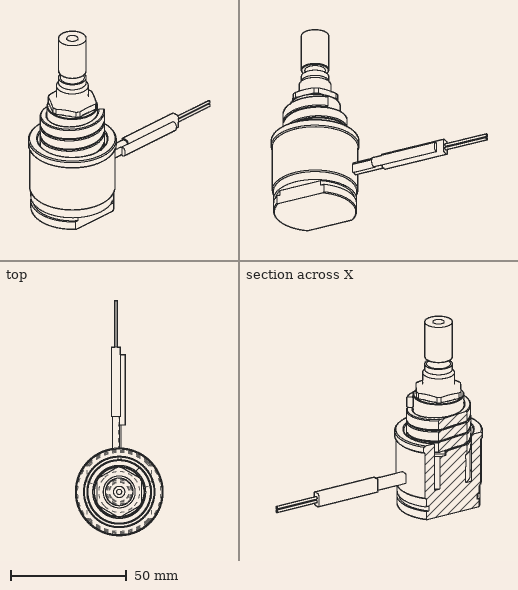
import cadquery as cq
import math

TOTAL_HEIGHT = 86.2
TOTAL_DEPTH = 101.5

FOOT_RADIUS = 18.0
FOOT_HEIGHT = 4.1
FOOT_CHAMFER = 0.4
FOOT_NECK_RADIUS = 17.1
FOOT_FLATS = 27.8
FOOT_NECK_TOP = 6.2

HOUSING_RADIUS = 18.5
HOUSING_BOTTOM = 10.6
HOUSING_EDGE = HOUSING_RADIUS - FOOT_RADIUS
FLANGE_RADIUS = 19.0
FLANGE_BOTTOM = 31.8
FLANGE_TOP = 35.3
FLANGE_CHAMFER = 0.5
CAVITY_RADIUS = 15.0
CAVITY_FLOOR = 13.2
CAVITY_CHAMFER = 0.4

COIL_RADIUS = 13.9
COIL_PITCH = 5.3
COIL_GAP = 0.3
COIL_CHAMFER = 0.4
COIL_INNER_CHAMFER = 0.6
COIL_START_ANGLE = 163.0
COIL_END_ANGLE = 50.6
COIL_HIDDEN_TURNS = 3
COIL_START_TOP = 30.3
COIL_OVERLAP = 0.1
CORE_RADIUS = 11.0
CORE_TOP = 52.1
CORE_CHAMFER = 0.3
DRUM_RADIUS = 13.6
DRUM_TOP = 28.4

NUT_FLATS = 19.3
NUT_CORNER_RADIUS = 10.7
NUT_BOTTOM = 52.6
NUT_CORNER_TOP = 55.1
NUT_CONE_TOP = 55.9
NUT_CONE_RADIUS = 7.6
WASHER_RADIUS = 8.8

BUSHING_RADIUS = 6.9
BUSHING_BOTTOM = 57.0
BUSHING_TOP = 62.2
SHOULDER_RADIUS = 6.4
SHOULDER_HEIGHT = 62.8
COLLAR_BOTTOM = 63.7
COLLAR_TOP = 66.3
SHAFT_RADIUS = 6.0
SHAFT_BOTTOM = 69.3
SHAFT_CHAMFER = 0.3
NECK_RADIUS = 4.2
NECK_MIDDLE = 68.0
NECK_TOP_RADIUS = 4.5
NECK_BOTTOM_RADIUS = 5.2
BORE_RADIUS = 2.4
BORE_DEPTH = 12.2
BORE_CONE_ANGLE = 118.0
BORE_NUB_RADIUS = 1.1

CABLE_Z = 17.3
CABLE_X = -1.4
CABLE_HEIGHT = 4.9
CABLE_WIDTH = 3.0
CABLE_ROOT = 16.2
CABLE_ROUNDING = 0.6
SLEEVE_HEIGHT = 6.3
SLEEVE_WIDTH = 3.9
SLEEVE_ROUNDING = 0.9
SLEEVE_START = 32.5
SLEEVE_END = 62.4
WIRE_Z = 17.2
WIRE_DIAMETER = 1.2
WIRE_SPACING = 1.7
WIRE_END = TOTAL_DEPTH - FLANGE_RADIUS
WIRE_EMBED = 2.0

REAR_CABLE_Z = 16.7
REAR_CABLE_X = 0.1
REAR_CABLE_WIDTH = 1.4
REAR_CABLE_HEIGHT = 4.0
REAR_SLEEVE_X = 1.1
REAR_SLEEVE_WIDTH = 3.0
REAR_SLEEVE_HEIGHT = 4.3
REAR_SLEEVE_START = 28.8
REAR_SLEEVE_END = 59.2
REAR_CABLE_ROOT = 13.7


def disc(radius, bottom, top):
    """Vertical cylinder on the part axis."""
    return cq.Workplane("XY").workplane(offset=bottom).circle(radius).extrude(top - bottom)


def turned(outline):
    """Solid of revolution about the part axis from (radius, height) points."""
    return cq.Workplane("XZ").polyline(outline).close().revolve(360, (0, 0), (0, 1))


def make_foot():
    """Round foot and its narrower neck, cut by two flats facing -X and +X."""
    foot = disc(FOOT_RADIUS, 0, FOOT_HEIGHT).faces("<Z").chamfer(FOOT_CHAMFER)
    foot = foot.union(disc(FOOT_NECK_RADIUS, 0, FOOT_NECK_TOP).faces("<Z").chamfer(FOOT_CHAMFER))
    flats = cq.Workplane("XY").box(
        FOOT_FLATS, 2 * FOOT_RADIUS, FOOT_NECK_TOP, centered=(True, True, False)
    )
    return foot.intersect(flats)


def make_housing():
    """Flanged cup whose cavity is open at the top."""
    outline = [
        (0, FOOT_NECK_TOP),
        (FOOT_RADIUS, FOOT_NECK_TOP),
        (FOOT_RADIUS, HOUSING_BOTTOM - HOUSING_EDGE),
        (HOUSING_RADIUS, HOUSING_BOTTOM),
        (HOUSING_RADIUS, FLANGE_BOTTOM),
        (FLANGE_RADIUS, FLANGE_BOTTOM + FLANGE_CHAMFER),
        (FLANGE_RADIUS, FLANGE_TOP - FLANGE_CHAMFER),
        (FLANGE_RADIUS - FLANGE_CHAMFER, FLANGE_TOP),
        (CAVITY_RADIUS + CAVITY_CHAMFER, FLANGE_TOP),
        (CAVITY_RADIUS, FLANGE_TOP - CAVITY_CHAMFER),
        (CAVITY_RADIUS, CAVITY_FLOOR),
        (0, CAVITY_FLOOR),
    ]
    return turned(outline)


def make_core():
    """Drum standing on the cavity floor and the cylinder that carries the coil."""
    core = disc(CORE_RADIUS, CAVITY_FLOOR, CORE_TOP).faces(">Z").chamfer(CORE_CHAMFER)
    return core.union(disc(DRUM_RADIUS, CAVITY_FLOOR, DRUM_TOP))


def make_coil():
    """Right-handed flat-wire coil with four chamfered edges."""
    turns = COIL_HIDDEN_TURNS + ((COIL_END_ANGLE - COIL_START_ANGLE) % 360) / 360
    height = COIL_PITCH - COIL_GAP
    inner = CORE_RADIUS - COIL_OVERLAP
    section = [
        (inner, -height + COIL_INNER_CHAMFER),
        (inner + COIL_INNER_CHAMFER, -height),
        (COIL_RADIUS - COIL_CHAMFER, -height),
        (COIL_RADIUS, -height + COIL_CHAMFER),
        (COIL_RADIUS, -COIL_CHAMFER),
        (COIL_RADIUS - COIL_CHAMFER, 0),
        (inner + COIL_INNER_CHAMFER, 0),
        (inner, -COIL_INNER_CHAMFER),
    ]
    path = cq.Wire.makeHelix(COIL_PITCH, turns * COIL_PITCH, COIL_RADIUS)
    coil = cq.Workplane("XZ").polyline(section).close().sweep(path, isFrenet=True)
    return coil.rotate((0, 0, 0), (0, 0, 1), COIL_START_ANGLE).translate((0, 0, COIL_START_TOP))


def make_nut():
    """Hexagon with flats facing -X and +X under a shallow conical top, on a washer."""
    outline = [
        (0, NUT_BOTTOM),
        (NUT_CORNER_RADIUS, NUT_BOTTOM),
        (NUT_CORNER_RADIUS, NUT_CORNER_TOP),
        (NUT_CONE_RADIUS, NUT_CONE_TOP),
        (0, NUT_CONE_TOP),
    ]
    blank = turned(outline)
    corner_diameter = NUT_FLATS / math.cos(math.radians(30))
    hexagon = (
        cq.Workplane("XY")
        .workplane(offset=NUT_BOTTOM)
        .polygon(6, corner_diameter)
        .extrude(NUT_CONE_TOP - NUT_BOTTOM)
        .rotate((0, 0, 0), (0, 0, 1), 30)
    )
    return blank.intersect(hexagon).union(disc(WASHER_RADIUS, CORE_TOP, NUT_BOTTOM))


def make_shaft():
    """Bushing, collar, concave neck and shaft, with a bore in the top.

    The bore floor slopes down to a small conical nub in the middle.
    """
    cone_slope = 1 / math.tan(math.radians(BORE_CONE_ANGLE / 2))
    bore_floor = TOTAL_HEIGHT - BORE_DEPTH
    nub_bottom = bore_floor - (BORE_RADIUS - BORE_NUB_RADIUS) * cone_slope
    nub_top = nub_bottom + BORE_NUB_RADIUS * cone_slope
    root_mid = (
        NUT_CONE_RADIUS - (NUT_CONE_RADIUS - BUSHING_RADIUS) * math.sin(math.radians(45)),
        BUSHING_BOTTOM - (BUSHING_BOTTOM - NUT_CONE_TOP) * math.sin(math.radians(45)),
    )
    return (
        cq.Workplane("XZ")
        .moveTo(0, NUT_CONE_TOP)
        .lineTo(NUT_CONE_RADIUS, NUT_CONE_TOP)
        .threePointArc(root_mid, (BUSHING_RADIUS, BUSHING_BOTTOM))
        .lineTo(BUSHING_RADIUS, BUSHING_TOP)
        .lineTo(SHOULDER_RADIUS, SHOULDER_HEIGHT)
        .lineTo(SHAFT_RADIUS, COLLAR_BOTTOM)
        .lineTo(SHAFT_RADIUS, COLLAR_TOP)
        .lineTo(NECK_BOTTOM_RADIUS, COLLAR_TOP)
        .threePointArc((NECK_RADIUS, NECK_MIDDLE), (NECK_TOP_RADIUS, SHAFT_BOTTOM))
        .lineTo(SHAFT_RADIUS - SHAFT_CHAMFER, SHAFT_BOTTOM)
        .lineTo(SHAFT_RADIUS, SHAFT_BOTTOM + SHAFT_CHAMFER)
        .lineTo(SHAFT_RADIUS, TOTAL_HEIGHT)
        .lineTo(BORE_RADIUS, TOTAL_HEIGHT)
        .lineTo(BORE_RADIUS, bore_floor)
        .lineTo(BORE_NUB_RADIUS, nub_bottom)
        .lineTo(0, nub_top)
        .close()
        .revolve(360, (0, 0), (0, 1))
    )


def cable_blank(x, width, height, start, end):
    """Rectangular bar along +Y, centred on x at the height of the sleeved cable."""
    return (
        cq.Workplane("XY")
        .box(width, end - start, height, centered=(True, False, True))
        .translate((x, start, CABLE_Z))
    )


def flat_cable(x, width, height, start, end):
    """Bar along +Y with fully rounded top and bottom, at the height of the second cable."""
    section = cq.Workplane("XZ", origin=(x, start, REAR_CABLE_Z)).slot2D(height, width, 90)
    return section.extrude(start - end)


def make_cable():
    """Sleeved cable with two bare wires, and a second sleeved cable beside it."""
    cable = cable_blank(CABLE_X, CABLE_WIDTH, CABLE_HEIGHT, CABLE_ROOT, SLEEVE_START)
    cable = cable.edges("|Y").fillet(CABLE_ROUNDING)
    sleeve = cable_blank(CABLE_X, SLEEVE_WIDTH, SLEEVE_HEIGHT, SLEEVE_START, SLEEVE_END)
    cable = cable.union(sleeve.edges("|Y").fillet(SLEEVE_ROUNDING))
    for side in (-1, 1):
        wire_z = WIRE_Z + side * WIRE_SPACING / 2
        wire = (
            cq.Workplane("XZ", origin=(CABLE_X, SLEEVE_END - WIRE_EMBED, wire_z))
            .circle(WIRE_DIAMETER / 2)
            .extrude(SLEEVE_END - WIRE_EMBED - WIRE_END)
        )
        cable = cable.union(wire)
    rear_cable = flat_cable(
        REAR_CABLE_X, REAR_CABLE_WIDTH, REAR_CABLE_HEIGHT, REAR_CABLE_ROOT, REAR_SLEEVE_START
    )
    rear_sleeve = flat_cable(
        REAR_SLEEVE_X, REAR_SLEEVE_WIDTH, REAR_SLEEVE_HEIGHT, REAR_SLEEVE_START, REAR_SLEEVE_END
    )
    return cable.union(rear_cable).union(rear_sleeve)


result = (
    make_housing()
    .union(make_foot())
    .union(make_core().union(make_coil()))
    .union(make_nut())
    .union(make_shaft())
    .union(make_cable())
)